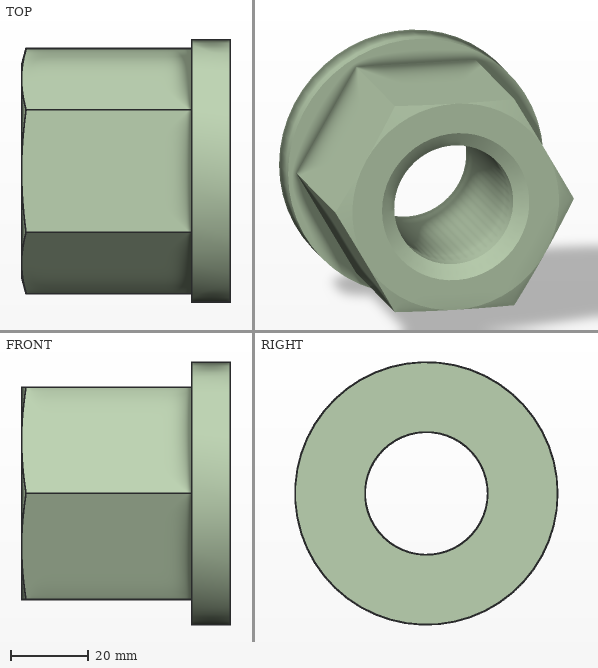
import cadquery as cq
import math

total_length = 54.0
collar_thickness = 10.0
collar_diameter = 68.0
hexagon_sides = 6
across_flats = 55.0
bore_diameter = 31.67
countersink_diameter = 39.2
countersink_side_angle = 60.0
corner_chamfer_angle = 15.0

hexagon_length = total_length - collar_thickness
across_corners = across_flats / math.cos(math.pi / hexagon_sides)
corner_chamfer_width = (across_corners - across_flats) / 2
corner_chamfer_depth = corner_chamfer_width * math.tan(math.radians(corner_chamfer_angle))
countersink_width = (countersink_diameter - bore_diameter) / 2
countersink_depth = countersink_width / math.tan(math.radians(countersink_side_angle))


def revolve_about_x(profile_points):
    """Revolve a closed (x, radius) outline about the X axis."""
    return cq.Workplane("XY").polyline(profile_points).close().revolve(360, (0, 0), (1, 0))


def chamfered_hexagon():
    """Hexagonal body with corners on +Y and -Y, turned down to a cone at its free end."""
    prism = cq.Workplane("YZ").polygon(hexagon_sides, across_corners).extrude(hexagon_length)
    turned_envelope = revolve_about_x([
        (0, 0),
        (0, across_flats / 2),
        (corner_chamfer_depth, across_corners / 2),
        (hexagon_length, across_corners / 2),
        (hexagon_length, 0),
    ])
    return prism.intersect(turned_envelope)


def collar():
    """Round collar that closes the +X end."""
    hexagon_end = cq.Workplane("YZ", origin=(hexagon_length, 0, 0))
    return hexagon_end.circle(collar_diameter / 2).extrude(collar_thickness)


def countersunk_bore():
    """Through bore with a conical countersink at the hexagon end."""
    return revolve_about_x([
        (0, 0),
        (0, countersink_diameter / 2),
        (countersink_depth, bore_diameter / 2),
        (total_length, bore_diameter / 2),
        (total_length, 0),
    ])


result = chamfered_hexagon().union(collar()).cut(countersunk_bore())